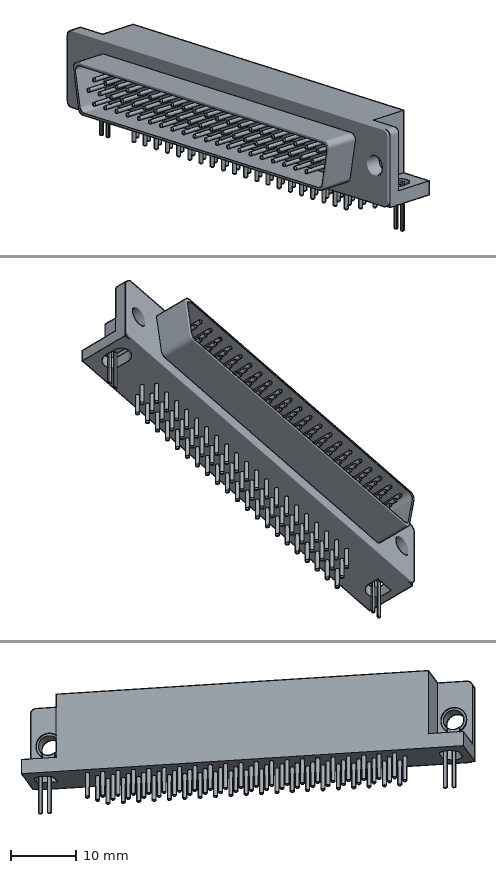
import cadquery as cq
import math

length = 69.4
height = 12.4
flange_depth = 2.3
block_depth = 6.65
block_length = 58.45
ledge_thickness = 2.3
corner_radius = 0.9
rear_y = flange_depth + block_depth

plate_thickness = 0.4
plate_side_inset = 0.1
plate_edge_round = 0.1

hole_x = 31.8
hole_diameter = 3.2
slot_width = 3.2
slot_end_y = 5.35
slot_length = 1.75

shell_length = 5.75
shell_height = 8.25
shell_top_width = 55.6
shell_wall = 0.4
shell_radius = 1.0
shell_side_angle = 10.0
shell_rim_round = 0.1

contact_diameter = 0.64
contact_length = 5.55
tip_chamfer = 0.2
face_rows_height = 3.95
row_rise = face_rows_height / 2
row_span = 48.2
row_gaps = 20
pitch = row_span / row_gaps
tail_length = 4.0
tail_rows_depth = 3.8
tail_row_spacing = tail_rows_depth / 2
middle_tail_y = 5.3

clip_thickness = 0.3
clip_width = 1.95
clip_ring_diameter = 4.0
clip_bend_radius = 0.2
prong_length = 5.5
prong_width = 0.55
prong_chamfer = 0.15

middle_z = height / 2
contact_radius = contact_diameter / 2


def box(size_x, y_min, y_max, z_min, z_max, center_x=0.0):
    """Box centred on center_x, given by its Y and Z limits."""
    return cq.Workplane("XY").box(size_x, y_max - y_min, z_max - z_min, centered=(True, False, False)).translate(
        (center_x, y_min, z_min)
    )


def disc(diameter, y_min, y_max, center_x):
    """Round disc along Y at mounting-hole height."""
    return (
        cq.Workplane("XZ", origin=(center_x, y_max, middle_z)).circle(diameter / 2).extrude(y_max - y_min)
    )


def make_body():
    """Flange, rear block, board ledge and face plate, with the mounting holes."""
    flange = box(length, plate_thickness, flange_depth, 0, height)
    flange = flange.edges("|Y and >Z").fillet(corner_radius)
    plate = box(length - 2 * plate_side_inset, 0, plate_thickness, 0, height)
    plate = plate.edges("|Y").fillet(corner_radius)
    block = box(block_length, flange_depth, rear_y, 0, height)
    ledge = box(length, flange_depth, rear_y, 0, ledge_thickness)
    for side in (-1, 1):
        hole = disc(hole_diameter, 0, flange_depth, side * hole_x)
        flange = flange.cut(hole)
        plate = plate.cut(hole)
    plate = plate.faces("<Y").edges().fillet(plate_edge_round)
    return flange.union(plate).union(block).union(ledge)


def make_slot(center_x, rounded_front):
    """Board slot through the ledge; its front end is either round or square."""
    slot_front_y = slot_end_y - slot_length
    slot = box(slot_width, slot_front_y, slot_end_y, 0, ledge_thickness, center_x)
    round_ends = [slot_end_y]
    if rounded_front:
        round_ends.append(slot_front_y)
    for end_y in round_ends:
        end = cq.Workplane("XY").center(center_x, end_y).circle(slot_width / 2).extrude(ledge_thickness)
        slot = slot.union(end)
    return slot


def make_shell_prism(inset):
    """Solid D-shaped prism in front of the flange, its walls moved inward by inset."""
    side_angle = math.radians(shell_side_angle)
    half_height = shell_height / 2 - inset
    half_middle = (shell_top_width - shell_height * math.tan(side_angle)) / 2 - inset / math.cos(side_angle)
    half_top = half_middle + half_height * math.tan(side_angle)
    half_bottom = half_middle - half_height * math.tan(side_angle)
    outline = [
        (-half_top, half_height),
        (half_top, half_height),
        (half_bottom, -half_height),
        (-half_bottom, -half_height),
    ]
    prism = cq.Workplane("XZ", origin=(0, 0, middle_z)).polyline(outline).close().extrude(shell_length)
    return prism.edges("|Y").fillet(shell_radius)


def make_shell():
    """Hollow D-shaped shell with a rounded outer rim."""
    outer = make_shell_prism(0).faces("<Y").edges().fillet(shell_rim_round)
    return outer.cut(make_shell_prism(shell_wall))


def make_contact(x, z, tail_y):
    """Round mating pin on the flange face, and its solder tail below the body."""
    pin = cq.Workplane("XZ", origin=(x, plate_thickness, z)).circle(contact_radius)
    pin = pin.extrude(contact_length + plate_thickness).faces("<Y").edges().chamfer(tip_chamfer)
    tail = cq.Workplane("XY", origin=(x, tail_y, 0)).circle(contact_radius)
    tail = tail.extrude(-tail_length).faces("<Z").edges().chamfer(tip_chamfer)
    return [pin.val(), tail.val()]


def make_clip(center_x):
    """Board-lock clip: ring on the flange, bent foot on the ledge, two prongs through the slot."""
    foot_top = ledge_thickness + clip_thickness
    foot_rear_y = slot_end_y + clip_thickness / 2
    ring = disc(clip_ring_diameter, flange_depth, flange_depth + clip_thickness, center_x)
    strip = box(clip_width, flange_depth, flange_depth + 2 * clip_thickness, ledge_thickness, middle_z, center_x)
    foot = box(clip_width, flange_depth, foot_rear_y, ledge_thickness, foot_top, center_x)
    for side in (-1, 1):
        prong_x = center_x + side * (clip_width - prong_width) / 2
        prong = box(prong_width, foot_rear_y - clip_thickness, foot_rear_y, -prong_length, foot_top, prong_x)
        foot = foot.union(prong.edges("|Y and <Z").chamfer(prong_chamfer))
    foot = foot.faces(">Z").edges(">Y").fillet(clip_bend_radius)
    return ring.union(strip).cut(disc(hole_diameter, 0, rear_y, center_x)).union(foot)


body = make_body()
for side in (-1, 1):
    body = body.cut(make_slot(side * hole_x, rounded_front=side < 0))
    body = body.union(make_clip(side * hole_x))
body = body.union(make_shell())

contact_rows = [(21, 0.25, 1), (21, -0.25, 0), (20, 0.25, -1)]
contacts = []
for count, shift, row in contact_rows:
    for index in range(count):
        x = -row_span / 2 + (index + shift) * pitch
        contacts += make_contact(x, middle_z + row * row_rise, middle_tail_y + row * tail_row_spacing)

result = cq.Workplane(body.val().fuse(*contacts))